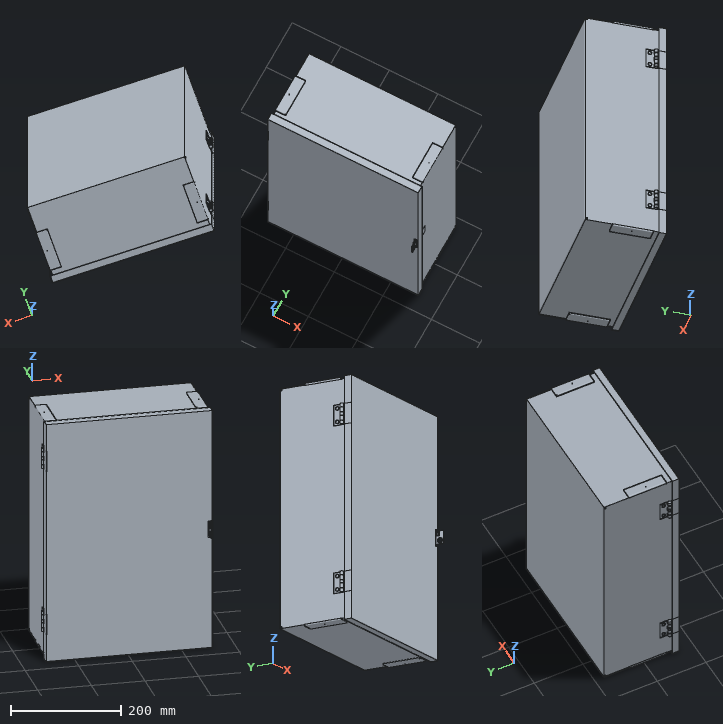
import cadquery as cq


overall_width = 315.53
overall_depth = 168.88
overall_height = 465.02

sheet = 1.52
box_width = 304.8
box_height = 457.2
box_depth = 152.4
back_bend_radius = 3.0
box_corner_radius = 1.52
corner_relief_diameter = 3.3
corner_relief_inset = 3.5
front_flange_width = 12.0

tab_width = 21.8
tab_rise = 2.3
tab_fold_radius = 2.2
tab_edge_radius = 1.8
tab_length = 77.8
tab_front = -130.3
tab_hole_diameter = 0.79
tab_hole_inset = 8.5

door_height = overall_height
door_overhang = (door_height - box_height) / 2
door_width = box_width + 2 * door_overhang
door_depth = 15.5
door_gap = 2.5
door_front = -(box_depth + door_gap)
door_back = door_front + door_depth
door_bend_radius = 3.0
door_corner_radius = 2.0

hasp_x = box_width / 2 - sheet
hasp_height = 25.4
hasp_root = -120.0
hasp_tip = -overall_depth
hasp_corner_radius = 2.0
hasp_hole_diameter = 9.53
hasp_hole_drop = 5.5
hasp_hole_setback = 7.4
lance_length = 6.0
lance_height = 7.0
lance_rise = 6.4
lance_depth = 2.0
lance_bevel = 1.5
slot_width = 6.35
slot_height = 31.75
slot_corner_radius = 2.0

hinge_spacing = 318.0
end_knuckle_height = 7.0
housing_knuckle_height = 9.4
middle_knuckle_height = 6.2
knuckle_heights = (
    end_knuckle_height,
    housing_knuckle_height,
    middle_knuckle_height,
    housing_knuckle_height,
    end_knuckle_height,
)
hinge_height = sum(knuckle_heights)
knuckle_diameter = 6.71
pin_diameter = 3.17
pin_bore_diameter = 3.3
leaf_thickness = 1.3
barrel_x = -(overall_width - door_width / 2 - knuckle_diameter / 2)
barrel_y = -133.9
leaf_back = -115.5
screw_hole_diameter = 6.71
screw_hole_pitch = 25.4
screw_hole_setback = 7.3


def block(x_range, y_range, z_range):
    """Axis-aligned box between the given limits."""
    size = [high - low for low, high in (x_range, y_range, z_range)]
    corner = (x_range[0], y_range[0], z_range[0])
    return cq.Workplane("XY").box(*size, centered=False).translate(corner)


def centred(size):
    """Limits of a span of the given size about zero."""
    return (-size / 2, size / 2)


def rod(diameter, x, y, z_low, height):
    """Upright cylinder."""
    return cq.Workplane("XY", origin=(x, y, z_low)).circle(diameter / 2).extrude(height)


def make_tab(side, level):
    """Tab at one side of the top or bottom wall, rounded where it folds into the side wall."""
    outer_x = side * box_width / 2
    inner_x = outer_x - side * tab_width
    tab_middle = tab_front + tab_length / 2
    root_z = level * (box_height / 2 - tab_fold_radius)
    surface_z = level * (box_height / 2 + tab_rise)
    tab = block(
        sorted((inner_x, outer_x)),
        (tab_front, tab_front + tab_length),
        sorted((root_z, surface_z)),
    )
    fold_edge = cq.selectors.NearestToPointSelector((outer_x, tab_middle, surface_z))
    tab = tab.edges(fold_edge).fillet(tab_fold_radius)
    surface = ">Z" if level > 0 else "<Z"
    inner_edge = "<X" if side > 0 else ">X"
    tab = tab.faces(surface).edges(f"<Y or >Y or {inner_edge}").fillet(tab_edge_radius)
    hole_bottom = min(level * box_height / 2, surface_z)
    return tab.cut(rod(tab_hole_diameter, outer_x - side * tab_hole_inset, tab_middle, hole_bottom, tab_rise))


def make_housing():
    """Hollow box, open at the front inside a narrow flange."""
    inner_width = box_width - 2 * sheet
    inner_height = box_height - 2 * sheet
    shell = block(centred(box_width), (-box_depth, 0), centred(box_height))
    shell = shell.edges("|Y").fillet(box_corner_radius)
    shell = shell.faces(">Y").edges().fillet(back_bend_radius)
    shell = shell.cut(block(centred(inner_width), (sheet - box_depth, -sheet), centred(inner_height)))
    opening = block(
        centred(box_width - 2 * front_flange_width),
        (-box_depth, sheet - box_depth),
        centred(box_height - 2 * front_flange_width),
    )
    shell = shell.cut(opening)
    for side in (-1, 1):
        for level in (-1, 1):
            shell = shell.union(make_tab(side, level))
    relief_spots = [(-corner_relief_inset, level * (box_height / 2 - corner_relief_inset)) for level in (-1, 1)]
    reliefs = (
        cq.Workplane("YZ", origin=(-box_width / 2, 0, 0))
        .pushPoints(relief_spots)
        .circle(corner_relief_diameter / 2)
        .extrude(box_width)
    )
    hasp_slot = block((hasp_x - sheet, hasp_x), (-box_depth, sheet - box_depth), centred(hasp_height))
    return shell.cut(reliefs).cut(hasp_slot)


def make_door():
    """Shallow tray that closes over the front of the housing."""
    door = block(centred(door_width), (door_front, door_back), centred(door_height))
    door = door.edges("|Y").fillet(door_corner_radius)
    door = door.faces("<Y").edges().fillet(door_bend_radius)
    door = door.cut(
        block(centred(door_width - 2 * sheet), (door_front + sheet, door_back), centred(door_height - 2 * sheet))
    )
    slot_centre = hasp_x - sheet / 2
    slot = block(
        (slot_centre - slot_width / 2, slot_centre + slot_width / 2),
        (door_front, door_front + sheet),
        centred(slot_height),
    )
    slot = slot.edges("|Y").fillet(slot_corner_radius)
    return door.cut(slot)


def make_hasp():
    """Flat plate with a padlock hole and a small bevelled bump on its inner face."""
    plate = block((hasp_x - sheet, hasp_x), (hasp_tip, hasp_root), centred(hasp_height))
    plate = plate.edges("|X and <Y").fillet(hasp_corner_radius)
    hole = (
        cq.Workplane("YZ", origin=(hasp_x - sheet, hasp_tip + hasp_hole_setback, -hasp_hole_drop))
        .circle(hasp_hole_diameter / 2)
        .extrude(sheet)
    )
    lance = block(
        (hasp_x - sheet - lance_depth, hasp_x - sheet),
        (door_front - lance_length, door_front),
        (lance_rise - lance_height / 2, lance_rise + lance_height / 2),
    )
    lance = lance.faces("<X").edges().chamfer(lance_bevel)
    return plate.cut(hole).union(lance)


def knuckle_zones(hinge_z):
    """Height limits of the knuckles from the bottom up, shorter and longer ones alternating."""
    zones = []
    low = hinge_z - hinge_height / 2
    for height in knuckle_heights:
        zones.append((low, low + height))
        low += height
    return zones


def make_housing_leaf(hinge_z):
    """Leaf on the outside of the left wall, with the two longer knuckles."""
    wall_x = -box_width / 2
    height_limits = (hinge_z - hinge_height / 2, hinge_z + hinge_height / 2)
    leaf = block((wall_x - leaf_thickness, wall_x), (barrel_y + knuckle_diameter / 2, leaf_back), height_limits)
    holes = (
        cq.Workplane("YZ", origin=(wall_x - leaf_thickness, leaf_back - screw_hole_setback, hinge_z))
        .pushPoints([(0, z) for z in centred(screw_hole_pitch)])
        .circle(screw_hole_diameter / 2)
        .extrude(leaf_thickness)
    )
    leaf = leaf.cut(holes)
    for zone in knuckle_zones(hinge_z)[1::2]:
        neck = block((wall_x - leaf_thickness, wall_x), (barrel_y, barrel_y + knuckle_diameter / 2), zone)
        leaf = leaf.union(neck)
        leaf = leaf.union(rod(knuckle_diameter, barrel_x, barrel_y, zone[0], zone[1] - zone[0]))
    bore = rod(pin_bore_diameter, barrel_x, barrel_y, hinge_z - hinge_height / 2, hinge_height)
    return leaf.cut(bore)


def make_door_leaf(hinge_z):
    """Leaf inside the door lip, with the three shorter knuckles and the hinge pin."""
    lip_x = sheet - door_width / 2
    inner_front = door_front + sheet
    height_limits = (hinge_z - hinge_height / 2, hinge_z + hinge_height / 2)
    leaf = block((lip_x, lip_x + leaf_thickness), (inner_front, door_back), height_limits)
    for zone in knuckle_zones(hinge_z)[0::2]:
        neck = block((barrel_x, lip_x + leaf_thickness), (door_back, barrel_y), zone)
        leaf = leaf.union(neck)
        leaf = leaf.union(rod(knuckle_diameter, barrel_x, barrel_y, zone[0], zone[1] - zone[0]))
    pin = rod(pin_diameter, barrel_x, barrel_y, hinge_z - hinge_height / 2, hinge_height)
    return leaf.union(pin)


housing = make_housing()
door = make_door()
hasp = make_hasp()
housing_leaves = [make_housing_leaf(z) for z in centred(hinge_spacing)]
door_leaves = [make_door_leaf(z) for z in centred(hinge_spacing)]

result = cq.Compound.makeCompound(
    [housing.val(), door.val(), hasp.val()]
    + [leaf.val() for leaf in housing_leaves]
    + [leaf.val() for leaf in door_leaves]
)